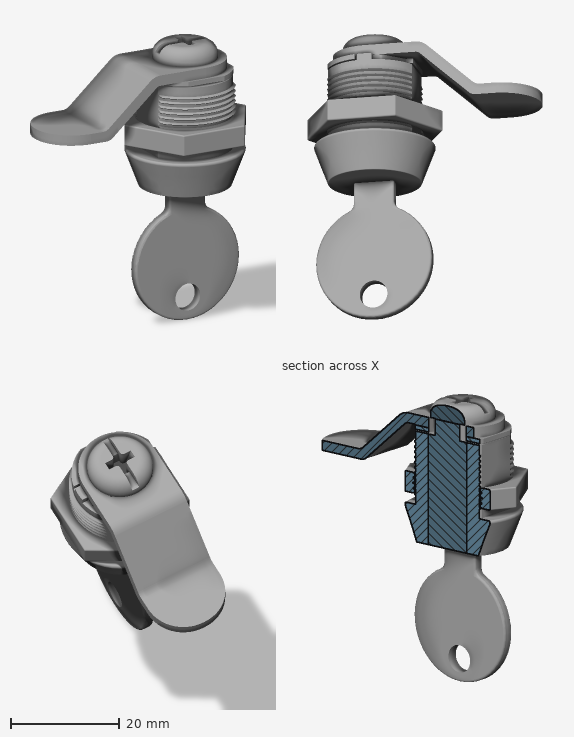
import cadquery as cq
import math


FLANGE_DIAMETER = 22.45
FLANGE_HEIGHT = 7.25
FLANGE_TAPER = math.radians(20.7)
FLANGE_RIM_RADIUS = 0.45
FLANGE_FACE_ROUNDING = 0.15
BARREL_DIAMETER = 17.75
BARREL_HEIGHT = 14.05
BARREL_FLAT_WIDTH = 15.8
THREAD_DIAMETER = 18.85
THREAD_BASE = 0.55
THREAD_TOP = 12.0
THREAD_COUNT = 11
THREAD_SPAN = 10.0
THREAD_PITCH = THREAD_SPAN / (THREAD_COUNT - 1)
STOP_TAB_WIDTH = 2.8
STOP_TAB_DEPTH = 1.35

CORE_DIAMETER = 12.7
POST_SQUARE = 8.9
POST_DIAMETER = 10.75

WASHER_BOTTOM = 14.3
WASHER_DIAMETER = 17.9
WASHER_THICKNESS = 0.9
WASHER_FLAT = 8.15
CAM_THICKNESS = 2.0
CAM_BOTTOM = WASHER_BOTTOM + WASHER_THICKNESS
CAM_TOP = CAM_BOTTOM + CAM_THICKNESS

CUTOUT_SIDE_Y = 1.9
CUTOUT_WALL_X = -7.55
CUTOUT_BEND_Y = -3.0
CUTOUT_END_X = -3.8

CAM_WIDTH = 15.25
CAM_DROP = 9.05
CAM_TIP_END = 31.55
CAM_TIP_CORNER_RADIUS = 7.45
CAM_HEAD_CENTER = 0.15
CAM_UPPER_BEND = 10.65
CAM_LOWER_BEND = 20.85
CAM_UPPER_BEND_RADIUS = 1.3
CAM_LOWER_BEND_RADIUS = 2.0

HEAD_DIAMETER = 12.15
HEAD_RIM_HEIGHT = 0.7
HEAD_DOME_RADIUS = 2.5
SHANK_DIAMETER = 4.85
SHANK_LENGTH = 7.55
SLOT_WIDTH = 1.5
SLOT_DEPTH = 1.65
RECESS_DEPTH = 3.45
RECESS_TOP_SPAN = 5.45
RECESS_BOTTOM_SPAN = 3.3
RECESS_CORNER_RADIUS = 0.6

NUT_WIDTH = 22.25
NUT_BOTTOM = 2.0
NUT_HEIGHT = 4.05
NUT_BORE = 18.05
NUT_ROUNDING = 0.25

KEY_BOTTOM = -33.45
KEY_BOW_DIAMETER = 21.9
KEY_THICKNESS = 2.1
KEY_BLADE_WIDTH = 7.65
KEY_BLADE_DEPTH = 6.45
KEY_EDGE_ROUNDING = 0.405
KEY_NECK_RADIUS = 1.7
KEY_HOLE_DIAMETER = 5.2
KEY_HOLE_ABOVE_BOTTOM = 4.4


def cylinder(diameter, bottom, height):
    return cq.Workplane("XY").workplane(offset=bottom).circle(diameter / 2).extrude(height)


def square_bar(side, bottom, height):
    return cq.Workplane("XY").workplane(offset=bottom).rect(side, side).extrude(height)


def make_flange():
    rim_x = FLANGE_DIAMETER / 2 - FLANGE_RIM_RADIUS
    rim_z = -FLANGE_RIM_RADIUS
    middle = (math.pi / 2 - FLANGE_TAPER) / 2
    cone_top_x = rim_x + FLANGE_RIM_RADIUS * math.cos(FLANGE_TAPER)
    cone_top_z = rim_z - FLANGE_RIM_RADIUS * math.sin(FLANGE_TAPER)
    face_radius = cone_top_x - (FLANGE_HEIGHT + cone_top_z) * math.tan(FLANGE_TAPER)
    return (
        cq.Workplane("XZ")
        .moveTo(0, -FLANGE_HEIGHT)
        .lineTo(face_radius, -FLANGE_HEIGHT)
        .lineTo(cone_top_x, cone_top_z)
        .threePointArc(
            (rim_x + FLANGE_RIM_RADIUS * math.cos(middle), rim_z + FLANGE_RIM_RADIUS * math.sin(middle)),
            (rim_x, 0),
        )
        .lineTo(0, 0)
        .close()
        .revolve(360, (0, 0), (0, 1))
        .faces("<Z")
        .edges()
        .fillet(FLANGE_FACE_ROUNDING)
    )


def make_threaded_rod():
    root = BARREL_DIAMETER / 2
    outline = cq.Workplane("XZ").moveTo(0, 0).lineTo(root, 0)
    for turn in reversed(range(THREAD_COUNT)):
        crest = THREAD_TOP - turn * THREAD_PITCH
        outline = (
            outline.lineTo(root, crest - THREAD_BASE / 2)
            .lineTo(THREAD_DIAMETER / 2, crest)
            .lineTo(root, crest + THREAD_BASE / 2)
        )
    outline = outline.lineTo(root, BARREL_HEIGHT).lineTo(0, BARREL_HEIGHT).close()
    return outline.revolve(360, (0, 0), (0, 1))


def make_stop_tab():
    height = CAM_BOTTOM - BARREL_HEIGHT
    root = BARREL_DIAMETER / 2
    return (
        cq.Workplane("XY")
        .workplane(offset=BARREL_HEIGHT)
        .center(-root + STOP_TAB_DEPTH / 2, 0)
        .rect(STOP_TAB_DEPTH, STOP_TAB_WIDTH)
        .extrude(height)
        .intersect(cylinder(BARREL_DIAMETER, BARREL_HEIGHT, height))
    )


def make_housing(threaded_rod):
    flats = cq.Workplane("XY").rect(THREAD_DIAMETER, BARREL_FLAT_WIDTH).extrude(BARREL_HEIGHT)
    barrel = threaded_rod.intersect(flats)
    bore = cylinder(CORE_DIAMETER, -FLANGE_HEIGHT, FLANGE_HEIGHT + BARREL_HEIGHT)
    return make_flange().union(barrel).cut(bore).union(make_stop_tab())


def key_disc(diameter, z):
    return (
        cq.Workplane("YZ", origin=(-KEY_THICKNESS / 2, 0, z)).circle(diameter / 2).extrude(KEY_THICKNESS)
    )


def make_key():
    bow_radius = KEY_BOW_DIAMETER / 2
    bow_center = KEY_BOTTOM + bow_radius
    blade_top = KEY_BLADE_DEPTH - FLANGE_HEIGHT
    blade = (
        cq.Workplane("XY")
        .workplane(offset=bow_center)
        .rect(KEY_THICKNESS, KEY_BLADE_WIDTH)
        .extrude(blade_top - bow_center)
    )
    key = key_disc(KEY_BOW_DIAMETER, bow_center).union(blade)
    key = key.faces("<X or >X").edges().fillet(KEY_EDGE_ROUNDING)
    corner_y = KEY_BLADE_WIDTH / 2
    corner_z = bow_center + math.sqrt(bow_radius**2 - corner_y**2)
    for side in (-1, 1):
        corner = cq.selectors.NearestToPointSelector((0, side * corner_y, corner_z))
        key = key.edges(corner).fillet(KEY_NECK_RADIUS)
    return key.cut(key_disc(KEY_HOLE_DIAMETER, KEY_BOTTOM + KEY_HOLE_ABOVE_BOTTOM))


def make_shank():
    return cylinder(SHANK_DIAMETER, CAM_TOP - SHANK_LENGTH, SHANK_LENGTH)


def make_plug(key, shank):
    core = cylinder(CORE_DIAMETER, -FLANGE_HEIGHT, FLANGE_HEIGHT + BARREL_HEIGHT)
    post_height = CAM_TOP - BARREL_HEIGHT
    post = square_bar(POST_SQUARE, BARREL_HEIGHT, post_height).intersect(
        cylinder(POST_DIAMETER, BARREL_HEIGHT, post_height)
    )
    return core.union(post).cut(key).cut(shank)


def make_washer():
    reach = WASHER_DIAMETER
    flats = (
        cq.Workplane("XY")
        .workplane(offset=WASHER_BOTTOM)
        .center(WASHER_FLAT - reach / 2, 0)
        .rect(reach, 2 * WASHER_FLAT)
        .extrude(WASHER_THICKNESS)
    )
    disc = cylinder(WASHER_DIAMETER, WASHER_BOTTOM, WASHER_THICKNESS).intersect(flats)
    slope_end_y = CUTOUT_BEND_Y - (CUTOUT_END_X - CUTOUT_WALL_X)
    cutout = (
        cq.Workplane("XY")
        .workplane(offset=WASHER_BOTTOM)
        .moveTo(-reach, CUTOUT_SIDE_Y)
        .lineTo(CUTOUT_WALL_X, CUTOUT_SIDE_Y)
        .lineTo(CUTOUT_WALL_X, CUTOUT_BEND_Y)
        .lineTo(CUTOUT_END_X, slope_end_y)
        .lineTo(CUTOUT_END_X, -reach)
        .lineTo(-reach, -reach)
        .close()
        .extrude(WASHER_THICKNESS)
    )
    hole = square_bar(POST_SQUARE, WASHER_BOTTOM, WASHER_THICKNESS)
    return disc.cut(cutout).cut(hole)


def make_cam_strip(back):
    slope = math.atan2(CAM_DROP, CAM_LOWER_BEND - CAM_UPPER_BEND)
    shift = CAM_THICKNESS * math.tan(slope / 2)
    tip_top = CAM_TOP - CAM_DROP
    tip_bottom = tip_top - CAM_THICKNESS
    strip = (
        cq.Workplane("YZ", origin=(-CAM_WIDTH / 2, 0, 0))
        .moveTo(back, CAM_TOP)
        .lineTo(-CAM_UPPER_BEND, CAM_TOP)
        .lineTo(-CAM_LOWER_BEND, tip_top)
        .lineTo(-CAM_TIP_END, tip_top)
        .lineTo(-CAM_TIP_END, tip_bottom)
        .lineTo(-CAM_LOWER_BEND + shift, tip_bottom)
        .lineTo(-CAM_UPPER_BEND + shift, CAM_BOTTOM)
        .lineTo(back, CAM_BOTTOM)
        .close()
        .extrude(CAM_WIDTH)
    )
    bends = (
        (-CAM_UPPER_BEND, CAM_TOP, CAM_UPPER_BEND_RADIUS + CAM_THICKNESS),
        (-CAM_UPPER_BEND + shift, CAM_BOTTOM, CAM_UPPER_BEND_RADIUS),
        (-CAM_LOWER_BEND, tip_top, CAM_LOWER_BEND_RADIUS),
        (-CAM_LOWER_BEND + shift, tip_bottom, CAM_LOWER_BEND_RADIUS),
    )
    for y, z, radius in bends:
        corner = cq.selectors.NearestToPointSelector((0, y, z))
        strip = strip.edges(corner).fillet(radius)
    return strip


def make_cam():
    back = CAM_HEAD_CENTER + CAM_WIDTH / 2
    plan = (
        cq.Workplane("XY")
        .moveTo(-CAM_WIDTH / 2, -CAM_TIP_END)
        .lineTo(CAM_WIDTH / 2, -CAM_TIP_END)
        .lineTo(CAM_WIDTH / 2, CAM_HEAD_CENTER)
        .threePointArc((0, back), (-CAM_WIDTH / 2, CAM_HEAD_CENTER))
        .close()
        .extrude(CAM_TOP)
    )
    plan = plan.faces("<Y").edges("|Z").fillet(CAM_TIP_CORNER_RADIUS)
    hole = square_bar(POST_SQUARE, CAM_BOTTOM, CAM_THICKNESS)
    return make_cam_strip(back).intersect(plan).cut(hole)


def recess_arm(plane, top):
    return (
        cq.Workplane(plane)
        .moveTo(-RECESS_TOP_SPAN / 2, top)
        .lineTo(RECESS_TOP_SPAN / 2, top)
        .lineTo(RECESS_BOTTOM_SPAN / 2, top - RECESS_DEPTH)
        .lineTo(-RECESS_BOTTOM_SPAN / 2, top - RECESS_DEPTH)
        .close()
        .extrude(SLOT_WIDTH / 2, both=True)
    )


def make_screw(shank):
    head_height = HEAD_RIM_HEIGHT + HEAD_DOME_RADIUS
    head_top = CAM_TOP + head_height
    head = cylinder(HEAD_DIAMETER, CAM_TOP, head_height).faces(">Z").edges().fillet(HEAD_DOME_RADIUS)
    slot = (
        cq.Workplane("XY")
        .workplane(offset=head_top - SLOT_DEPTH)
        .rect(SLOT_WIDTH, HEAD_DIAMETER)
        .extrude(SLOT_DEPTH)
    )
    recess = recess_arm("XZ", head_top).union(recess_arm("YZ", head_top))
    recess = recess.edges("|Z").fillet(RECESS_CORNER_RADIUS)
    return head.union(shank).cut(slot).cut(recess)


def make_nut(threaded_rod):
    corner_diameter = NUT_WIDTH / math.cos(math.pi / 6)
    return (
        cq.Workplane("XY")
        .workplane(offset=NUT_BOTTOM)
        .transformed(rotate=(0, 0, 30))
        .polygon(6, corner_diameter)
        .extrude(NUT_HEIGHT)
        .edges()
        .fillet(NUT_ROUNDING)
        .cut(cylinder(NUT_BORE, NUT_BOTTOM, NUT_HEIGHT))
        .cut(threaded_rod)
    )


threaded_rod = make_threaded_rod()
housing = make_housing(threaded_rod)
key = make_key()
shank = make_shank()
plug = make_plug(key, shank)
washer = make_washer()
cam = make_cam()
screw = make_screw(shank)
nut = make_nut(threaded_rod)

bodies = [housing, plug, key, washer, cam, screw, nut]
result = cq.Compound.makeCompound([body.solids().val() for body in bodies])